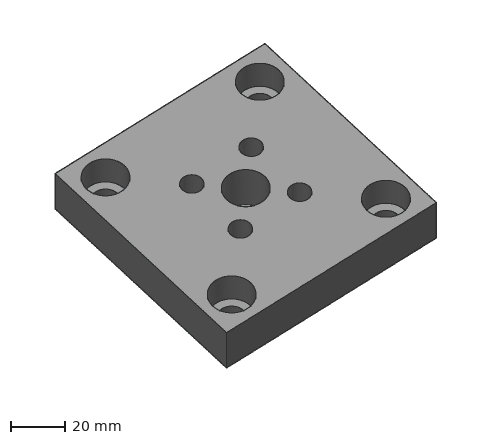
import cadquery as cq
import math

plate_side = 100.0
plate_thickness = 20.0

bore_diameter = 18.0

inner_circle_diameter = 40.0
inner_hole_diameter = 9.0

corner_circle_diameter = 104.0
corner_hole_diameter = 11.0
counterbore_diameter = 18.0
counterbore_depth = 13.0


def diagonal_points(circle_diameter):
    """Four points where a centred circle crosses the plate diagonals."""
    offset = circle_diameter / 2 / math.sqrt(2)
    return [(sx * offset, sy * offset) for sx in (-1, 1) for sy in (-1, 1)]


plate = cq.Workplane("XY").box(
    plate_side, plate_side, plate_thickness, centered=(True, True, False)
)
top_plane = cq.Workplane("XY", origin=(0, 0, plate_thickness))

central_bore = top_plane.circle(bore_diameter / 2).extrude(-plate_thickness)

inner_holes = (
    top_plane.pushPoints(diagonal_points(inner_circle_diameter))
    .circle(inner_hole_diameter / 2)
    .extrude(-plate_thickness)
)

corner_points = diagonal_points(corner_circle_diameter)
corner_holes = (
    top_plane.pushPoints(corner_points)
    .circle(corner_hole_diameter / 2)
    .extrude(-plate_thickness)
)
counterbores = (
    top_plane.pushPoints(corner_points)
    .circle(counterbore_diameter / 2)
    .extrude(-counterbore_depth)
)

result = plate.cut(central_bore).cut(inner_holes).cut(corner_holes).cut(counterbores)